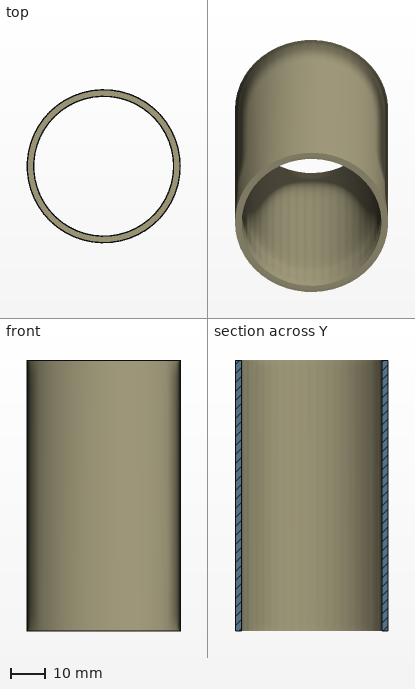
import cadquery as cq

height = 78.2
outer_diameter = 44.3
wall_thickness = 1.95
inner_diameter = outer_diameter - 2 * wall_thickness

tube_section = cq.Workplane("XY").circle(outer_diameter / 2).circle(inner_diameter / 2)

result = tube_section.extrude(height)